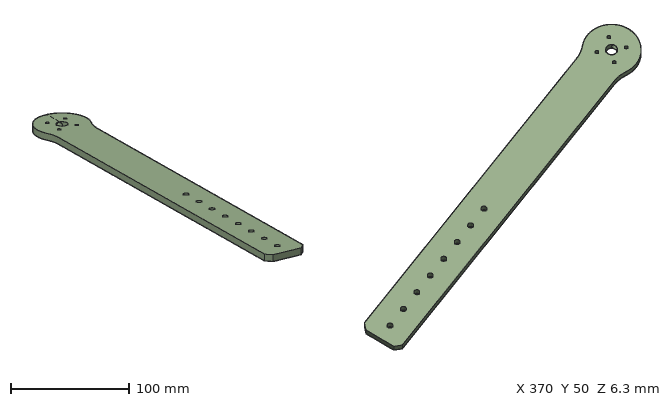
import cadquery as cq
import math

total_length = 370.0
thickness = 6.3
head_diameter = 50.0
arm_width = 39.0
neck_radius = 30.0
end_chamfer = 5.0

bore_diameter = 10.0
bolt_hole_diameter = 3.0
bolt_circle_diameter = 25.0
bolt_count = 4
row_hole_diameter = 4.8
row_hole_count = 8
row_pitch = 20.0
row_end_margin = 15.0
side_hole_diameter = 6.0

head_radius = head_diameter / 2
arm_half_width = arm_width / 2
arm_end_x = total_length - head_radius


def make_plate():
    """Round head blended into a straight arm by concave arcs tangent to both."""
    neck_x = math.sqrt((head_radius + neck_radius) ** 2 - (arm_half_width + neck_radius) ** 2)
    neck_y = arm_half_width + neck_radius
    neck_angle = math.atan2(neck_y, neck_x)
    tangent_x = head_radius * math.cos(neck_angle)
    tangent_y = head_radius * math.sin(neck_angle)
    middle_angle = (neck_angle + math.pi / 2) / 2
    middle_x = neck_x - neck_radius * math.cos(middle_angle)
    middle_y = neck_y - neck_radius * math.sin(middle_angle)

    return (
        cq.Workplane("XY")
        .moveTo(tangent_x, tangent_y)
        .threePointArc((-head_radius, 0), (tangent_x, -tangent_y))
        .threePointArc((middle_x, -middle_y), (neck_x, -arm_half_width))
        .lineTo(arm_end_x, -arm_half_width)
        .lineTo(arm_end_x, arm_half_width)
        .lineTo(neck_x, arm_half_width)
        .threePointArc((middle_x, middle_y), (tangent_x, tangent_y))
        .close()
        .extrude(thickness)
        .edges("|Z and >X")
        .chamfer(end_chamfer)
    )


def make_head_holes():
    """Central bore and its surrounding bolt holes."""
    bore = cq.Workplane("XY").circle(bore_diameter / 2).extrude(thickness)
    bolt_holes = (
        cq.Workplane("XY")
        .polarArray(bolt_circle_diameter / 2, 180 / bolt_count, 360, bolt_count)
        .circle(bolt_hole_diameter / 2)
        .extrude(thickness)
    )
    return bore.union(bolt_holes)


def make_row_holes():
    """Evenly spaced holes along the arm's centreline, counted from its free end."""
    last_hole_x = arm_end_x - row_end_margin
    centres = [(last_hole_x - i * row_pitch, 0) for i in range(row_hole_count)]
    return cq.Workplane("XY").pushPoints(centres).circle(row_hole_diameter / 2).extrude(thickness)


def make_side_hole():
    """Hole through the plate's edge, from the tip of the head into the bore."""
    return (
        cq.Workplane("YZ", origin=(-head_radius, 0, thickness / 2))
        .circle(side_hole_diameter / 2)
        .extrude(head_radius)
    )


result = make_plate().cut(make_head_holes()).cut(make_row_holes()).cut(make_side_hole())